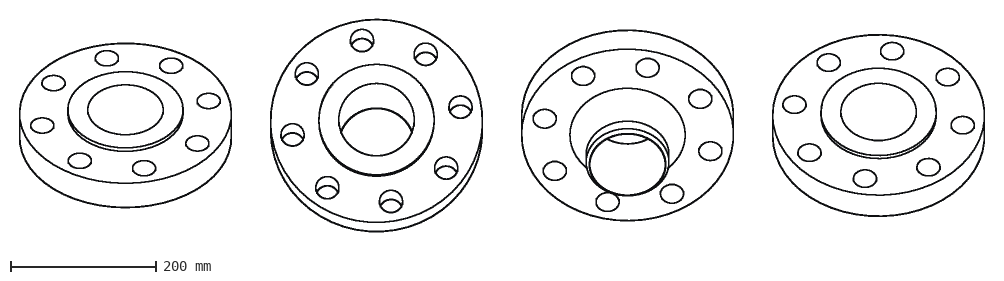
import cadquery as cq

flange_diameter = 292.0
total_height = 120.5
raised_face_height = 6.5
flange_thickness = 44.7
neck_length = 23.0

raised_face_diameter = 159.0
hub_base_diameter = raised_face_diameter
neck_diameter = 114.2
bore_diameter = 104.0
bevel_height = 5.5
bevel_width = 4.5

bolt_count = 8
bolt_hole_diameter = 31.8
bolt_circle_diameter = 234.8

flange_top = total_height - raised_face_height
flange_bottom = flange_top - flange_thickness


def make_body():
    """Revolve the outer profile of the neck, hub, flange and raised face."""
    neck_radius = neck_diameter / 2
    profile = (
        cq.Workplane("XZ")
        .lineTo(neck_radius - bevel_width, 0)
        .lineTo(neck_radius, bevel_height)
        .lineTo(neck_radius, neck_length)
        .lineTo(hub_base_diameter / 2, flange_bottom)
        .lineTo(flange_diameter / 2, flange_bottom)
        .lineTo(flange_diameter / 2, flange_top)
        .lineTo(raised_face_diameter / 2, flange_top)
        .lineTo(raised_face_diameter / 2, total_height)
        .lineTo(0, total_height)
        .close()
    )
    return profile.revolve(360, (0, 0, 0), (0, 1, 0))


def make_bore():
    return cq.Workplane("XY").circle(bore_diameter / 2).extrude(total_height)


def make_bolt_holes():
    """Bolt holes straddle the X and Y axes."""
    half_pitch = 180 / bolt_count
    return (
        cq.Workplane("XY")
        .workplane(offset=flange_bottom)
        .polarArray(bolt_circle_diameter / 2, half_pitch, 360, bolt_count)
        .circle(bolt_hole_diameter / 2)
        .extrude(flange_thickness)
    )


result = make_body().cut(make_bore()).cut(make_bolt_holes())